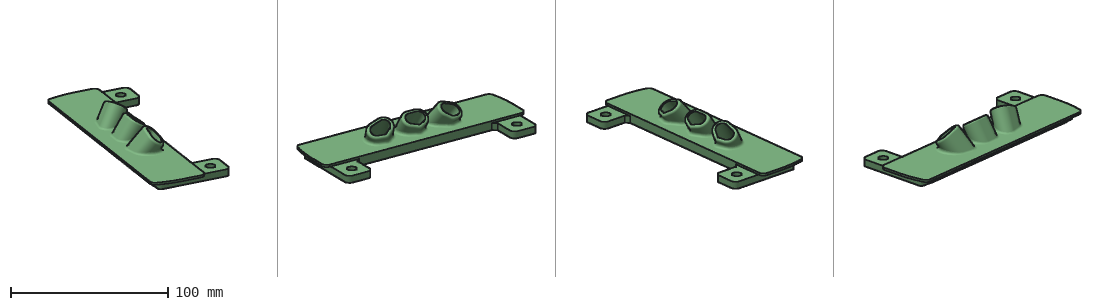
import cadquery as cq
import math

plate_length = 154.0
plate_depth = 37.1
plate_thickness = 1.5
plate_corner_radius = 3.7
side_bow_radius = 77.0
side_bow_start = 21.3

total_depth = 56.8
body_length = 145.4
body_height = 5.0
body_front = 5.4
body_end_step = 0.6
body_end_step_flat = 4.8
body_end_step_ramp = 3.7
body_corner_diameter = 4.8
tab_width = 19.0
tab_corner_radius = 3.7
tab_hole_diameter = 6.3
tab_hole_setback = 9.7
tab_gusset_length = 3.0
tab_gusset_depth = 2.2

nozzle_spacing = 23.4
nozzle_lean = 33.5
nozzle_splay = 19.0
nozzle_length = 12.6
nozzle_wall = 2.5
bore_flat = 6.0
bore_side_diameter = 8.2
bore_roof_angle = 24.0
bore_peak_radius = 1.5
rim_rounding = 1.5
base_fillet = 1.8
tube_overrun = 9.2
bore_overrun = 18.5
height_margin = 0.2

plate_top = body_height + plate_thickness


def make_plate():
    half = plate_length / 2
    bow_angle = math.asin(side_bow_start / side_bow_radius)
    front_half = half - side_bow_radius * (1 - math.cos(bow_angle))
    mid_half = half - side_bow_radius * (1 - math.cos(bow_angle / 2))
    mid_y = side_bow_start - side_bow_radius * math.sin(bow_angle / 2)
    return (
        cq.Workplane("XY", origin=(0, 0, body_height))
        .moveTo(-front_half, 0)
        .lineTo(front_half, 0)
        .threePointArc((mid_half, mid_y), (half, side_bow_start))
        .lineTo(half, plate_depth)
        .lineTo(-half, plate_depth)
        .lineTo(-half, side_bow_start)
        .threePointArc((-mid_half, mid_y), (-front_half, 0))
        .close()
        .extrude(plate_thickness)
        .edges("|Z and (<Y or >Y)")
        .fillet(plate_corner_radius)
    )


def make_body():
    half = body_length / 2
    tab_inner = half - tab_width
    end_front = body_front + body_end_step
    ramp_outer = half - body_end_step_flat
    ramp_inner = ramp_outer - body_end_step_ramp
    right_side = [
        (ramp_inner, body_front),
        (ramp_outer, end_front),
        (half, end_front),
        (half, total_depth),
        (tab_inner, total_depth),
        (tab_inner, plate_depth + tab_gusset_depth),
        (tab_inner - tab_gusset_length, plate_depth),
    ]
    left_side = [(-x, y) for x, y in reversed(right_side)]
    body = cq.Workplane("XY").polyline(right_side + left_side).close().extrude(body_height)
    body = body.edges("|Z and >Y").fillet(tab_corner_radius)
    body = body.edges("|Z and (<X or >X)").edges("<Y").fillet(body_corner_diameter / 2)
    hole_x = half - tab_width / 2
    hole_y = total_depth - tab_hole_setback
    holes = (
        cq.Workplane("XY")
        .pushPoints([(-hole_x, hole_y), (hole_x, hole_y)])
        .circle(tab_hole_diameter / 2)
        .extrude(body_height)
    )
    return body.cut(holes)


def nozzle_tube(offset, start, end):
    """Straight tube along Z; its section is the bore section grown by offset."""
    radius = bore_side_diameter / 2 + offset
    half_flat = bore_flat / 2
    roof = math.radians(bore_roof_angle)
    roof_x = half_flat + radius * math.sin(roof)
    roof_y = radius * math.cos(roof)
    peak_y = roof_y + roof_x * math.tan(roof)
    mid_angle = -roof / 2
    mid_x = half_flat + radius * math.cos(mid_angle)
    mid_y = radius * math.sin(mid_angle)
    return (
        cq.Workplane("XY", origin=(0, 0, start))
        .moveTo(-half_flat, -radius)
        .lineTo(half_flat, -radius)
        .threePointArc((mid_x, mid_y), (roof_x, roof_y))
        .lineTo(0, peak_y)
        .lineTo(-roof_x, roof_y)
        .threePointArc((-mid_x, mid_y), (-half_flat, -radius))
        .close()
        .extrude(end - start)
        .edges("|Z and >Y")
        .fillet(bore_peak_radius + offset)
    )


def place_nozzle(tube, side):
    """Lean a tube backwards, splay it and set it on the plate; side is -1, 0 or 1."""
    return (
        tube.rotate((0, 0, 0), (1, 0, 0), -nozzle_lean)
        .rotate((0, 0, 0), (0, 1, 0), side * nozzle_splay)
        .translate((side * nozzle_spacing, plate_depth / 2, plate_top))
    )


def make_nozzle(plate, side):
    """Plate carrying one solid nozzle, blended in at its base; side is 0 or 1."""
    tube = nozzle_tube(nozzle_wall, -tube_overrun, nozzle_length)
    tube = tube.faces(">Z").edges().fillet(rim_rounding)
    above_plate_bottom = cq.Workplane("XY", origin=(0, plate_depth / 2, body_height)).box(
        plate_length, plate_depth, plate_length, centered=(True, True, False)
    )
    tube = place_nozzle(tube, side).intersect(above_plate_bottom)
    nozzle_reach = 2 * nozzle_spacing
    base_edges = cq.selectors.BoxSelector(
        (-nozzle_reach, base_fillet, plate_top - height_margin),
        (nozzle_reach, plate_depth - base_fillet, plate_top + height_margin),
    )
    return plate.union(tube).edges(base_edges).fillet(base_fillet)


plate = make_plate()
centre_nozzle = make_nozzle(plate, 0)
right_nozzle = make_nozzle(plate, 1)
left_nozzle = right_nozzle.mirror("YZ")

bore = nozzle_tube(0, -bore_overrun, nozzle_length + rim_rounding)

result = make_body().union(centre_nozzle).union(right_nozzle).union(left_nozzle)
for side in (-1, 0, 1):
    result = result.cut(place_nozzle(bore, side))